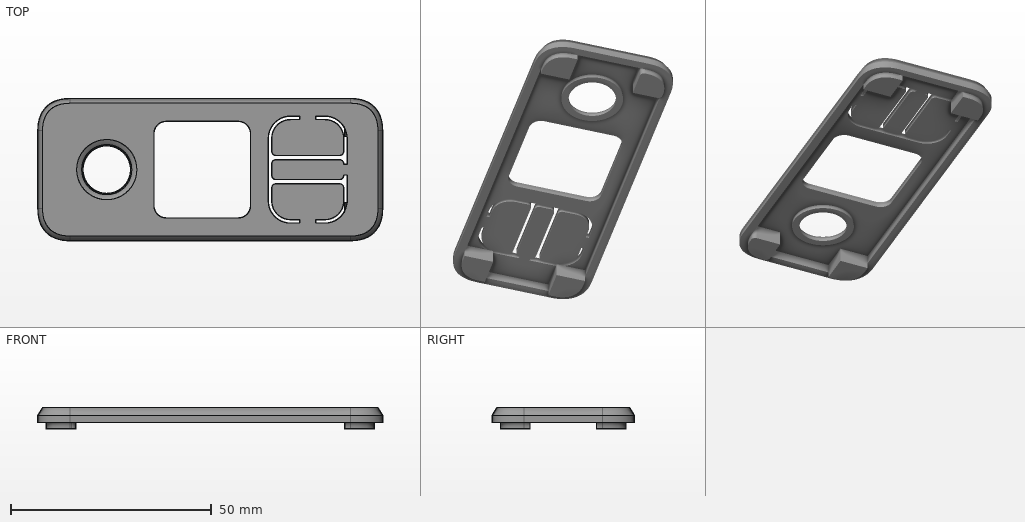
import cadquery as cq

length = 86.0
width = 35.5
corner_reach = 8.0
corner_fullness = 0.63
band_height = 1.8
bevel_height = 2.0
bevel_inset = 1.2
plate_height = band_height + bevel_height
skin_thickness = 1.5
skin_bottom = plate_height - skin_thickness
wall_thickness = 2.1
cavity_length = length - 2 * wall_thickness
cavity_width = width - 2 * wall_thickness
cavity_reach = corner_reach - wall_thickness

foot_height = 1.5
foot_size = 7.4
foot_end_radius = 1.1

eye_x = -25.8
eye_top_diameter = 15.0
eye_step_diameter = 12.5
eye_throat_diameter = 11.8
eye_step_depth = 1.0
eye_throat_depth = 1.7
collar_depth = 2.5
collar_diameter = 15.4

window_x = -2.0
window_size = 24.0
window_radius = 3.0

panel_x = 24.3
panel_width = 19.6
panel_height = 26.6
panel_radius = 5.5
rim_gap = 0.8
bar_gap = 1.0
bar_height = 5.0
key_end_radius = 1.1
key_bridge_width = 4.0
bar_bridge_width = 2.8


def rounded_block(size_x, size_y, radius, bottom, top):
    """Upright block centred on the Z axis with rounded vertical corners."""
    block = cq.Workplane("XY").workplane(offset=bottom).rect(size_x, size_y).extrude(top - bottom)
    return block.edges("|Z").fillet(radius)


def soft_corner_block(size_x, size_y, reach, bottom, top):
    """Upright block whose corners are Bezier curves, slightly fuller than arcs of the same reach."""
    half_x = size_x / 2
    half_y = size_y / 2
    straight_x = half_x - reach
    straight_y = half_y - reach
    handle_x = straight_x + corner_fullness * reach
    handle_y = straight_y + corner_fullness * reach
    outline = cq.Workplane("XY").workplane(offset=bottom).moveTo(-straight_x, -half_y)
    for side_x, side_y in ((1, -1), (1, 1), (-1, 1), (-1, -1)):
        corner = [
            (side_x * straight_x, side_y * half_y),
            (side_x * handle_x, side_y * half_y),
            (side_x * half_x, side_y * handle_y),
            (side_x * half_x, side_y * straight_y),
        ]
        if side_x == side_y:
            corner.reverse()
        outline = outline.lineTo(*corner[0]).bezier(corner)
    return outline.close().extrude(top - bottom)


def make_shell():
    """Bevelled plate with the cavity taken out from below."""
    plate = soft_corner_block(length, width, corner_reach, 0, plate_height)
    plate = plate.faces(">Z").chamfer(bevel_height, bevel_inset)
    return plate.cut(soft_corner_block(cavity_length, cavity_width, cavity_reach, 0, skin_bottom))


def make_foot(side_x, side_y, rounded_ends):
    """Corner foot from the skin to below the plate, optionally rounded where it leaves the walls."""
    outer_x = side_x * cavity_length / 2
    outer_y = side_y * cavity_width / 2
    center_x = outer_x - side_x * foot_size / 2
    center_y = outer_y - side_y * foot_size / 2
    foot = cq.Workplane("XY").workplane(offset=-foot_height).center(center_x, center_y)
    foot = foot.rect(foot_size, foot_size).extrude(skin_bottom + foot_height)
    if rounded_ends:
        for free_corner in ((0, outer_y, 0), (outer_x, 0, 0)):
            corner_edge = cq.selectors.NearestToPointSelector(free_corner)
            foot = foot.edges("|Z").edges(corner_edge).fillet(foot_end_radius)
    outer_limit = soft_corner_block(cavity_length, cavity_width, cavity_reach, -foot_height, skin_bottom)
    return foot.intersect(outer_limit)


def make_eye_collar():
    """Ring under the skin that carries the lower part of the round opening."""
    return (
        cq.Workplane("XY")
        .workplane(offset=plate_height - collar_depth)
        .center(eye_x, 0)
        .circle(collar_diameter / 2)
        .extrude(collar_depth - skin_thickness)
    )


def make_eye_opening():
    """Stepped conical opening as a solid of revolution."""
    profile = [
        (0, 0),
        (eye_top_diameter / 2, 0),
        (eye_step_diameter / 2, -eye_step_depth),
        (eye_throat_diameter / 2, -eye_throat_depth),
        (eye_throat_diameter / 2, -collar_depth),
        (0, -collar_depth),
    ]
    opening = cq.Workplane("XZ").polyline(profile).close().revolve(360, (0, 0), (0, 1))
    return opening.translate((eye_x, 0, plate_height))


def make_window():
    window = rounded_block(window_size, window_size, window_radius, skin_bottom, plate_height)
    return window.translate((window_x, 0, 0))


def make_button_slots():
    """Slots around the keys and the bar, broken by the bridges that hold them."""
    inner_width = panel_width - 2 * rim_gap
    inner_height = panel_height - 2 * rim_gap
    key_bottom = bar_height / 2 + bar_gap
    key_height = inner_height / 2 - key_bottom
    slots = rounded_block(panel_width, panel_height, panel_radius, skin_bottom, plate_height)
    bar = rounded_block(inner_width, bar_height, key_end_radius, skin_bottom, plate_height)
    slots = slots.cut(bar)
    bridge_z = skin_bottom + skin_thickness / 2
    for side in (-1, 1):
        key = cq.Workplane("XY").box(inner_width, key_height, skin_thickness)
        key = key.edges("|Z and >Y").fillet(panel_radius - rim_gap)
        key = key.edges("|Z and <Y").fillet(key_end_radius)
        key = key.translate((0, key_bottom + key_height / 2, bridge_z))
        if side < 0:
            key = key.mirror("XZ")
        bridge = cq.Workplane("XY").box(key_bridge_width, 2 * rim_gap, skin_thickness)
        bridge = bridge.translate((0, side * (panel_height / 2 - rim_gap), bridge_z))
        slots = slots.cut(key).cut(bridge)
    bar_bridge = cq.Workplane("XY").box(2 * rim_gap, bar_bridge_width, skin_thickness)
    slots = slots.cut(bar_bridge.translate((panel_width / 2 - rim_gap, 0, bridge_z)))
    return slots.translate((panel_x, 0, 0))


result = make_shell().union(make_eye_collar())
for foot_side_x in (-1, 1):
    for foot_side_y in (-1, 1):
        is_rounded = foot_side_x < 0 and foot_side_y < 0
        result = result.union(make_foot(foot_side_x, foot_side_y, is_rounded))
result = result.cut(make_eye_opening()).cut(make_window()).cut(make_button_slots())